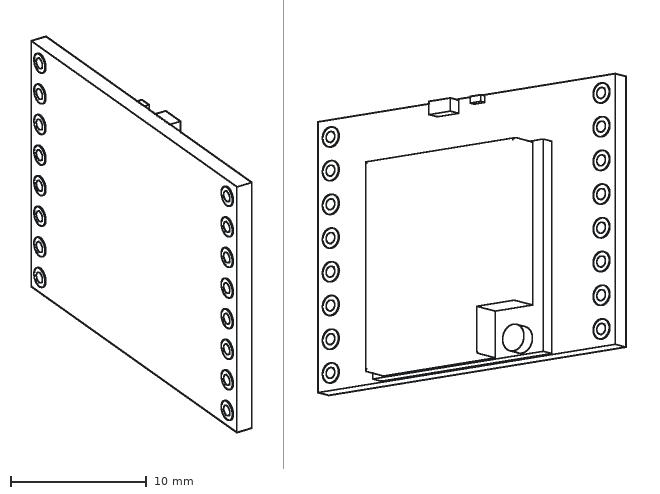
import cadquery as cq

board_width = 27.9
board_height = 20.4
board_thickness = 1.3

pin_pitch = 2.55
pins_per_column = 8
column_spacing = 10 * pin_pitch
pad_diameter = 1.5
hole_diameter = 0.8
pad_thickness = 0.08

module_size = 16.0
module_thickness = 1.0
module_bottom_gap = 0.08
can_width = 14.0
can_height = 15.8
can_depth = 2.2
can_fillet = 0.2

notch_size = 3.52
connector_diameter = 2.0
connector_height = 1.0
connector_inset = 0.03

component_top_gap = 0.08
large_length = 2.0
large_section = 1.0
large_center_x = 1.73
small_length = 1.0
small_section = 0.5
small_center_x = -1.23

board_front = 0.0
board_back = board_front + board_thickness
module_back = board_back + module_thickness
board_bottom = -board_height / 2
board_top = board_height / 2
module_center_z = board_bottom + module_bottom_gap + module_size / 2
can_left = -can_width / 2
can_bottom = module_center_z - can_height / 2


def block(width, depth, height, center_x, front_y, center_z):
    """Box centred on X and Z whose front face lies at front_y."""
    return (
        cq.Workplane("XY")
        .box(width, depth, height, centered=(True, False, True))
        .translate((center_x, front_y, center_z))
    )


def cylinders(points, diameter, front_y, length):
    """Round posts along +Y at the given (x, z) points, starting at front_y."""
    return (
        cq.Workplane("XZ", origin=(0, front_y, 0))
        .pushPoints(points)
        .circle(diameter / 2)
        .extrude(-length)
    )


def pin_points():
    """(x, z) centres of every plated hole."""
    points = []
    for x in (-column_spacing / 2, column_spacing / 2):
        for row in range(pins_per_column):
            z = (row - (pins_per_column - 1) / 2) * pin_pitch
            points.append((x, z))
    return points


def make_board():
    """Board with a raised annular pad on both faces of every hole."""
    pad_front = board_front - pad_thickness
    pad_length = board_thickness + 2 * pad_thickness
    board = block(board_width, board_thickness, board_height, 0, board_front, 0)
    pads = cylinders(pin_points(), pad_diameter, pad_front, pad_length)
    holes = cylinders(pin_points(), hole_diameter, pad_front, pad_length)
    return board.union(pads).cut(holes)


def make_can():
    """Shield can with a rounded outer rim and a square corner cut away."""
    can = block(can_width, can_depth, can_height, 0, module_back, module_center_z)
    can = can.faces(">Y").edges().fillet(can_fillet)
    notch = block(2 * notch_size, can_depth, 2 * notch_size, can_left, module_back, can_bottom)
    return can.cut(notch)


def make_connector():
    """Round connector just inside the two outer outlines of the can at the cut corner."""
    offset = connector_inset + connector_diameter / 2
    center = (can_left + offset, can_bottom + offset)
    return cylinders([center], connector_diameter, module_back, connector_height)


def make_component(length, section, center_x):
    """Square-section block lying along the top edge of the board."""
    center_z = board_top - component_top_gap - section / 2
    return block(length, section, section, center_x, board_back, center_z)


substrate = block(module_size, module_thickness, module_size, 0, board_back, module_center_z)

result = (
    make_board()
    .union(substrate)
    .union(make_can())
    .union(make_connector())
    .union(make_component(large_length, large_section, large_center_x))
    .union(make_component(small_length, small_section, small_center_x))
)